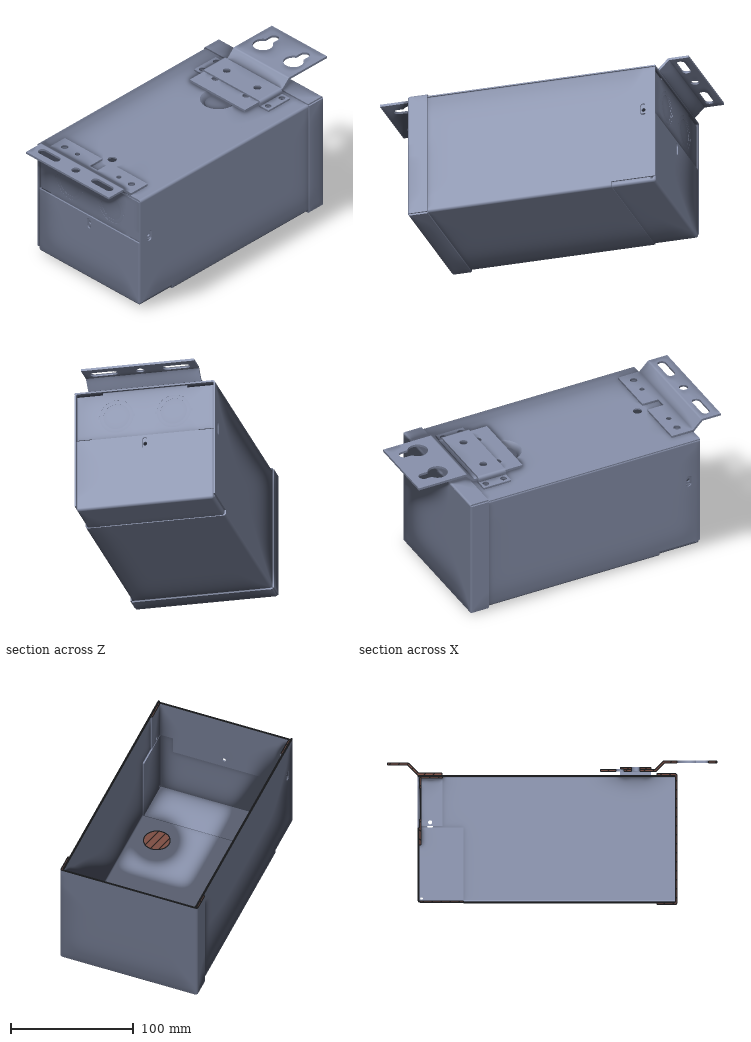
import cadquery as cq
import math


HOUSING_WIDTH = 118.1
HOUSING_HEIGHT = 104.7
HOUSING_SHEET = 1.3
HOUSING_BEND = 2.2
HOUSING_INNER_BEND = 1.0
SEAM_SHEET = 1.0
SEAM_BEND = 1.3
DIMPLE_RADIUS = 15.0
DIMPLE_FLOOR_RADIUS = 11.0
DIMPLE_DEPTH = 4.0
DIMPLE_Y = 150.5
TOP_HOLE_RADIUS = 3.8
TOP_HOLE_Y = 27.0
BOTTOM_CUTOUT_LENGTH = 37.5
WALL_CUTOUT_HEIGHT = 4.5

CAP_SHEET = 1.3
CAP_LENGTH = 16.7
CAP_BEND = 1.5
CAP_REAR_Y = 211.7

FRONT_SHEET = 1.3
FRONT_BEND = 1.5
COVER_BOTTOM_Z = 0.5
COVER_BOTTOM_BEND = 2.2
COVER_TOP_Z = 61.8
COVER_SLOT_WIDTH = 4.0
COVER_SLOT_LENGTH = 10.0
COVER_SLOT_Z = 54.8
CORNER_HOLE_RADIUS = 1.0
CORNER_HOLE_Y = 3.2
CORNER_HOLE_Z = 3.8
PANEL_FLANGE_DEPTH = 19.0
PANEL_SHOULDER_GAP = 1.0
PANEL_TOP_Z = 101.0
PANEL_TAB_WIDTH = 70.7
PANEL_TAB_BEND = 1.0
TONGUE_WIDTH = 89.5
TONGUE_BOTTOM_Z = 47.2
SCREW_HOLE_RADIUS = 1.5
SIDE_SLOT_WIDTH = 4.9
SIDE_SLOT_LENGTH = 10.2
SIDE_SLOT_Y = 10.2
SIDE_SLOT_Z = 65.8
KNOCKOUT_X = 24.0
KNOCKOUT_Z = 81.2
KNOCKOUT_RADIUS = 14.3
KNOCKOUT_INNER_RADIUS = 11.0
KNOCKOUT_STEP = 0.13
KNOCKOUT_TIE_SPAN = 31.3
KNOCKOUT_TIE_HEIGHT = 2.2

KEY_SHEET = 2.02
KEY_WIDTH = 63.0
KEY_REAR_Y = 244.6
KEY_FRONT_Y = 149.2
KEY_LOWER_TOP_Z = 109.2
KEY_BEND_Y = 193.5
KEY_RISE = 7.0
KEYHOLE_X = 17.5
KEYHOLE_Y = 220.0
KEYHOLE_RADIUS = 8.4
KEYHOLE_NECK_RADIUS = 4.0
KEYHOLE_NECK_LENGTH = 13.0
BRACKET_BEND = 2.3

CLIP_SHEET = 1.5
CLIP_BEND = 2.5
CLIP_WIDTH = 85.2
CLIP_HAT_WIDTH = 67.0
CLIP_LENGTH = 25.0
CLIP_Y = 178.0
CLIP_BOLT_RADIUS = 3.2
KEY_BOLT_PITCH = 13.0
RIVET_X = 37.8
RIVET_PITCH = 16.2
CLIP_RIVET_RADIUS = 2.7
HOUSING_RIVET_RADIUS = 1.3

FOOT_SHEET = 2.0
FOOT_WIDTH = 95.0
FOOT_REAR_Y = 20.0
FOOT_BEND_Y = 0.5
FOOT_FRONT_Y = -25.0
FOOT_RISE = 8.0
FOOT_NOTCH_WIDTH = 9.2
FOOT_NOTCH_END_Y = 5.5
FOOT_HOLE_Y = 10.5
FOOT_OUTER_HOLE_X = 38.3
FOOT_OUTER_HOLE_RADIUS = 3.0
FOOT_RIVET_X = 23.7
FOOT_RIVET_RADIUS = 2.2
FOOT_SLOT_X = 30.5
FOOT_SLOT_Y = -15.5
FOOT_SLOT_LENGTH = 23.0
FOOT_SLOT_WIDTH = 7.3

INNER_WIDTH = HOUSING_WIDTH - 2 * HOUSING_SHEET
INNER_TOP_Z = HOUSING_HEIGHT - HOUSING_SHEET
DRILL_LENGTH = 27.0
HOUSING_REAR_Y = CAP_REAR_Y - CAP_SHEET
RIVET_ROWS = (CLIP_Y - RIVET_PITCH / 2, CLIP_Y + RIVET_PITCH / 2)
CLIP_RIVETS = [(x, y) for x in (-RIVET_X, RIVET_X) for y in RIVET_ROWS]
FOOT_RIVETS = [(-FOOT_RIVET_X, FOOT_HOLE_Y), (FOOT_RIVET_X, FOOT_HOLE_Y)]


def block(width, y_start, y_end, z_start, z_end):
    """Box centred on X = 0 between the given Y and Z limits."""
    size = (width, y_end - y_start, z_end - z_start)
    return cq.Workplane("XY").box(*size, centered=(True, False, False)).translate((0, y_start, z_start))


def drills(points, radius):
    """Vertical cutters long enough to pass through every sheet on the housing top."""
    return (
        cq.Workplane("XY", origin=(0, 0, INNER_TOP_Z))
        .pushPoints(points).circle(radius).extrude(DRILL_LENGTH)
    )


def cross_drill(y, z, radius):
    """Cutter along X through both side walls."""
    return cq.Workplane("YZ").center(y, z).circle(radius).extrude(HOUSING_WIDTH, both=True)


def make_housing():
    shell = block(HOUSING_WIDTH, 0, HOUSING_REAR_Y, 0, HOUSING_HEIGHT)
    shell = shell.edges("|Y and (<Z or >X)").fillet(HOUSING_BEND)
    cavity = block(INNER_WIDTH, 0, HOUSING_REAR_Y, HOUSING_SHEET, INNER_TOP_Z)
    shell = shell.cut(cavity.edges("|Y").fillet(HOUSING_INNER_BEND))

    shell = shell.cut(seam_groove())

    shell = shell.cut(block(HOUSING_WIDTH, 0, BOTTOM_CUTOUT_LENGTH, 0, WALL_CUTOUT_HEIGHT))

    shell = shell.union(dimple_cone(INNER_TOP_Z)).cut(dimple_cone(HOUSING_HEIGHT))

    shell = shell.cut(drills([(0, TOP_HOLE_Y)], TOP_HOLE_RADIUS))
    shell = shell.cut(drills(CLIP_RIVETS + FOOT_RIVETS, HOUSING_RIVET_RADIUS))
    side_slots = (
        cq.Workplane("YZ").center(SIDE_SLOT_Y, SIDE_SLOT_Z)
        .slot2D(SIDE_SLOT_LENGTH, SIDE_SLOT_WIDTH, 90).extrude(HOUSING_WIDTH, both=True)
    )
    return shell.cut(side_slots)


def seam_groove():
    """Groove below the edge of the top sheet, above the rounded bend of the left wall."""
    wall_x = -HOUSING_WIDTH / 2
    groove_top_z = HOUSING_HEIGHT - SEAM_SHEET
    return (
        cq.Workplane("XZ").moveTo(wall_x, groove_top_z)
        .lineTo(wall_x, groove_top_z - SEAM_BEND)
        .radiusArc((wall_x + SEAM_BEND, groove_top_z), SEAM_BEND)
        .close().extrude(-HOUSING_REAR_Y)
    )


def dimple_cone(top_z):
    """Dimple cone that narrows downward from top_z."""
    return (
        cq.Workplane("XY", origin=(0, DIMPLE_Y, top_z)).circle(DIMPLE_RADIUS)
        .workplane(offset=-DIMPLE_DEPTH).circle(DIMPLE_FLOOR_RADIUS).loft()
    )


def make_cap():
    front_y = CAP_REAR_Y - CAP_LENGTH
    wide = block(HOUSING_WIDTH + 2 * CAP_SHEET, front_y, CAP_REAR_Y, 0, HOUSING_HEIGHT)
    tall = block(HOUSING_WIDTH, front_y, CAP_REAR_Y, -CAP_SHEET, HOUSING_HEIGHT + CAP_SHEET)
    cap = wide.edges(">Y and |Z").fillet(CAP_BEND).union(tall.edges(">Y and |X").fillet(CAP_BEND))
    return cap.cut(block(HOUSING_WIDTH, front_y, HOUSING_REAR_Y, 0, HOUSING_HEIGHT))


def make_cover():
    cover = block(INNER_WIDTH, 0, BOTTOM_CUTOUT_LENGTH, COVER_BOTTOM_Z, COVER_TOP_Z)
    cover = cover.edges("<Y and |Z").fillet(FRONT_BEND)
    cover = cover.faces("<Z").edges("not >Y").fillet(COVER_BOTTOM_BEND)
    floor_z = COVER_BOTTOM_Z + FRONT_SHEET
    inside = block(INNER_WIDTH - 2 * FRONT_SHEET, FRONT_SHEET, BOTTOM_CUTOUT_LENGTH, floor_z, COVER_TOP_Z)
    cover = cover.cut(inside)
    slot = (
        cq.Workplane("XZ").center(0, COVER_SLOT_Z)
        .slot2D(COVER_SLOT_LENGTH, COVER_SLOT_WIDTH, 90).extrude(-FRONT_SHEET)
    )
    return cover.cut(slot).cut(cross_drill(CORNER_HOLE_Y, CORNER_HOLE_Z, CORNER_HOLE_RADIUS))


def make_panel():
    front_y = FRONT_SHEET
    inner_y = front_y + FRONT_SHEET
    rear_y = front_y + PANEL_FLANGE_DEPTH
    shoulder_z = COVER_TOP_Z + PANEL_SHOULDER_GAP

    panel = block(INNER_WIDTH, front_y, rear_y, shoulder_z, PANEL_TOP_Z)
    panel = panel.edges("<Y and |Z").fillet(FRONT_BEND)
    panel = panel.cut(block(INNER_WIDTH - 2 * FRONT_SHEET, inner_y, rear_y, shoulder_z, PANEL_TOP_Z))

    tab = block(PANEL_TAB_WIDTH, front_y, rear_y, shoulder_z, INNER_TOP_Z)
    tab = tab.edges("<Y and >Z").fillet(PANEL_TAB_BEND)
    tab = tab.cut(block(PANEL_TAB_WIDTH, inner_y, rear_y, shoulder_z, INNER_TOP_Z - FRONT_SHEET))

    tongue = block(TONGUE_WIDTH, front_y, inner_y, TONGUE_BOTTOM_Z, shoulder_z)
    panel = panel.union(tab).union(tongue)
    screw_hole = cq.Workplane("XZ").center(0, COVER_SLOT_Z).circle(SCREW_HOLE_RADIUS).extrude(-inner_y)
    panel = panel.cut(screw_hole).cut(cross_drill(SIDE_SLOT_Y, SIDE_SLOT_Z, SCREW_HOLE_RADIUS))

    for x in (-KNOCKOUT_X, KNOCKOUT_X):
        panel = panel.cut(knockout_recess(x, front_y))
    return panel


def knockout_recess(x, face_y):
    """Two-step round recess with a tie mark on each side."""
    face = cq.Workplane("XZ", origin=(x, face_y, KNOCKOUT_Z))
    outer = face.circle(KNOCKOUT_RADIUS).extrude(-KNOCKOUT_STEP)
    ties = face.rect(KNOCKOUT_TIE_SPAN, KNOCKOUT_TIE_HEIGHT).extrude(-KNOCKOUT_STEP)
    inner = face.circle(KNOCKOUT_INNER_RADIUS).extrude(-2 * KNOCKOUT_STEP)
    return outer.union(ties).union(inner)


def offset_strip(width, sheet, low_end_y, bend_y, high_end_y, low_top_z, rise):
    """Sheet strip whose 45 degree joggle climbs by `rise` from bend_y toward high_end_y."""
    toward = 1 if high_end_y > low_end_y else -1
    high_top_z = low_top_z + rise
    crest_y = bend_y + toward * rise
    shift = toward * sheet * math.tan(math.radians(45 / 2))
    outline = [
        (low_end_y, low_top_z),
        (bend_y, low_top_z),
        (crest_y, high_top_z),
        (high_end_y, high_top_z),
        (high_end_y, high_top_z - sheet),
        (crest_y + shift, high_top_z - sheet),
        (bend_y + shift, low_top_z - sheet),
        (low_end_y, low_top_z - sheet),
    ]
    strip = cq.Workplane("YZ").polyline(outline).close().extrude(width / 2, both=True)
    crest = cq.selectors.NearestToPointSelector((0, crest_y, high_top_z))
    return strip.edges("|X").edges(crest).fillet(BRACKET_BEND)


def make_keyhole_bracket():
    bracket = offset_strip(
        KEY_WIDTH, KEY_SHEET, KEY_FRONT_Y, KEY_BEND_Y, KEY_REAR_Y, KEY_LOWER_TOP_Z, KEY_RISE
    )
    sides = (-KEYHOLE_X, KEYHOLE_X)
    neck_y = KEYHOLE_Y + KEYHOLE_NECK_LENGTH
    upper_top_z = KEY_LOWER_TOP_Z + KEY_RISE
    neck = block(2 * KEYHOLE_NECK_RADIUS, KEYHOLE_Y, neck_y, upper_top_z - KEY_SHEET, upper_top_z)
    for x in sides:
        bracket = bracket.cut(neck.translate((x, 0, 0)))
    bracket = bracket.cut(drills([(x, KEYHOLE_Y) for x in sides], KEYHOLE_RADIUS))
    bracket = bracket.cut(drills([(x, neck_y) for x in sides], KEYHOLE_NECK_RADIUS))
    bolt_rows = (CLIP_Y, CLIP_Y - KEY_BOLT_PITCH)
    return bracket.cut(drills([(x, y) for x in sides for y in bolt_rows], CLIP_BOLT_RADIUS))


def make_clip():
    front_y = CLIP_Y - CLIP_LENGTH / 2
    rear_y = CLIP_Y + CLIP_LENGTH / 2
    flange = block(CLIP_WIDTH, front_y, rear_y, HOUSING_HEIGHT, HOUSING_HEIGHT + CLIP_SHEET)
    hat = block(CLIP_HAT_WIDTH, front_y, rear_y, HOUSING_HEIGHT, KEY_LOWER_TOP_Z + CLIP_SHEET)
    hat = hat.edges(">Z and |Y").fillet(CLIP_BEND)
    tunnel = block(CLIP_HAT_WIDTH - 2 * CLIP_SHEET, front_y, rear_y, HOUSING_HEIGHT, KEY_LOWER_TOP_Z)
    clip = flange.union(hat).cut(tunnel)
    clip = clip.cut(drills([(x, CLIP_Y) for x in (-KEYHOLE_X, KEYHOLE_X)], CLIP_BOLT_RADIUS))
    return clip.cut(drills(CLIP_RIVETS, CLIP_RIVET_RADIUS))


def make_foot():
    low_top_z = HOUSING_HEIGHT + FOOT_SHEET
    foot = offset_strip(
        FOOT_WIDTH, FOOT_SHEET, FOOT_REAR_Y, FOOT_BEND_Y, FOOT_FRONT_Y, low_top_z, FOOT_RISE
    )
    foot = foot.cut(block(FOOT_NOTCH_WIDTH, FOOT_NOTCH_END_Y, FOOT_REAR_Y, HOUSING_HEIGHT, low_top_z))
    outer_holes = [(-FOOT_OUTER_HOLE_X, FOOT_HOLE_Y), (FOOT_OUTER_HOLE_X, FOOT_HOLE_Y)]
    foot = foot.cut(drills(outer_holes, FOOT_OUTER_HOLE_RADIUS))
    foot = foot.cut(drills(FOOT_RIVETS, FOOT_RIVET_RADIUS))
    foot = foot.cut(drills([(0, FOOT_SLOT_Y)], FOOT_SLOT_WIDTH / 2))
    slots = (
        cq.Workplane("XY", origin=(0, 0, INNER_TOP_Z))
        .pushPoints([(-FOOT_SLOT_X, FOOT_SLOT_Y), (FOOT_SLOT_X, FOOT_SLOT_Y)])
        .slot2D(FOOT_SLOT_LENGTH, FOOT_SLOT_WIDTH).extrude(DRILL_LENGTH)
    )
    return foot.cut(slots)


housing = make_housing()
cap = make_cap()
cover = make_cover()
panel = make_panel()
keyhole_bracket = make_keyhole_bracket()
clip = make_clip()
foot = make_foot()

result = cq.Compound.makeCompound(
    [body.val() for body in (housing, cap, cover, panel, keyhole_bracket, clip, foot)]
)